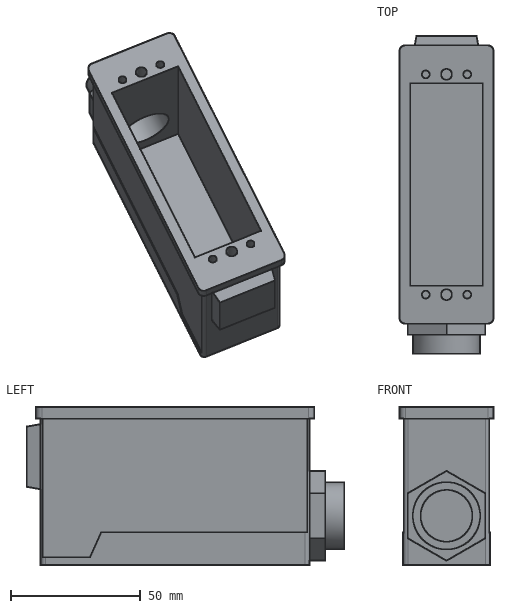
import cadquery as cq
import math

body_width = 33.6
body_length = 103.8
total_height = 61.0
corner_radius = 1.8
floor_thickness = 3.0

flange_width = 36.4
flange_length = 107.5
flange_thickness = 4.5
flange_radius = 2.3

pocket_width = 28.0
pocket_length = 78.0
hole_row_spacing = 85.0
side_hole_spacing = 16.0
side_hole_diameter = 3.0
centre_hole_diameter = 4.2
hole_depth = 12.0

relief_depth = 0.3
skirt_high = 12.6
skirt_low = 3.1
skirt_slope_top_y = 28.5
skirt_slope_bottom_y = 32.75

gland_axis_z = 19.0
nut_across_flats = 30.0
nut_length = 6.1
spigot_diameter = 26.0
spigot_length = 7.4
bore_diameter = 20.0

plug_axis_z = 41.8
plug_base_size = 25.2
plug_length = 5.4
plug_taper_angle = 10.0

flange_bottom_z = total_height - flange_thickness
half_length = body_length / 2
nut_face_y = -half_length - nut_length
spigot_face_y = nut_face_y - spigot_length


def rounded_block(width, length, height, radius, bottom_z):
    """Block centred on Z with rounded vertical edges."""
    block = cq.Workplane("XY").workplane(offset=bottom_z).rect(width, length).extrude(height)
    return block.edges("|Z").fillet(radius)


def side_relief(side):
    """Thin cutter for one long side (side = +1 or -1), above the raised skirt."""
    profile = [
        (-half_length, flange_bottom_z),
        (-half_length, skirt_high),
        (skirt_slope_top_y, skirt_high),
        (skirt_slope_bottom_y, skirt_low),
        (half_length, skirt_low),
        (half_length, flange_bottom_z),
    ]
    relief_floor_x = side * (body_width / 2 - relief_depth)
    plane = cq.Workplane("YZ").workplane(offset=relief_floor_x)
    return plane.polyline(profile).close().extrude(side * relief_depth)


def end_plane(y, axis_z):
    """XZ plane facing -Y at the given Y, with its origin at height axis_z."""
    return cq.Workplane("XZ", origin=(0, y, axis_z))


def cable_gland():
    """Hexagonal nut with two corners on the vertical axis, and a round spigot."""
    corner_diameter = nut_across_flats / math.cos(math.pi / 6)
    nut = (
        end_plane(-half_length, gland_axis_z)
        .transformed(rotate=(0, 0, 90))
        .polygon(6, corner_diameter)
        .extrude(nut_length)
    )
    spigot = end_plane(nut_face_y, gland_axis_z).circle(spigot_diameter / 2).extrude(spigot_length)
    return nut.union(spigot)


def cable_bore():
    """Round passage from the spigot face into the pocket."""
    bore_length = -pocket_length / 2 - spigot_face_y
    return end_plane(spigot_face_y, gland_axis_z).circle(bore_diameter / 2).extrude(-bore_length)


def end_plug():
    """Square plug that narrows away from the body."""
    base = end_plane(half_length, plug_axis_z).rect(plug_base_size, plug_base_size)
    return base.extrude(-plug_length, taper=plug_taper_angle)


def connector_pocket():
    """Rectangular cavity open at the top."""
    pocket_depth = total_height - floor_thickness
    base = cq.Workplane("XY").workplane(offset=floor_thickness)
    return base.rect(pocket_width, pocket_length).extrude(pocket_depth)


def mounting_holes():
    """A large hole between two small ones beyond each end of the pocket."""
    top = cq.Workplane("XY").workplane(offset=total_height)
    side_holes = (
        top.rect(side_hole_spacing, hole_row_spacing, forConstruction=True)
        .vertices()
        .circle(side_hole_diameter / 2)
        .extrude(-hole_depth)
    )
    centre_holes = (
        top.pushPoints([(0, -hole_row_spacing / 2), (0, hole_row_spacing / 2)])
        .circle(centre_hole_diameter / 2)
        .extrude(-hole_depth)
    )
    return side_holes.union(centre_holes)


housing = rounded_block(body_width, body_length, flange_bottom_z, corner_radius, 0)
for side in (-1, 1):
    housing = housing.cut(side_relief(side))

flange = rounded_block(flange_width, flange_length, flange_thickness, flange_radius, flange_bottom_z)
housing = housing.union(flange).union(cable_gland()).union(end_plug())

result = housing.cut(connector_pocket()).cut(cable_bore()).cut(mounting_holes())